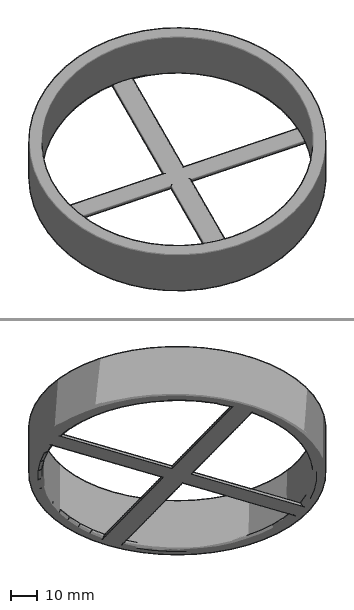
import cadquery as cq

outer_diameter = 110.5
inner_diameter = 100.5
height = 22.0
rim_fillet = 1.0
base_fillet = 1.5

x_bar_width = 8.2
y_bar_width = 7.0
bar_thickness = 1.5
bar_fillet = 0.7

outer_radius = outer_diameter / 2
inner_radius = inner_diameter / 2


def make_ring():
    """Round wall with rounded edges at the upper rim and at the base."""
    ring = cq.Workplane("XY").circle(outer_radius).circle(inner_radius).extrude(height)
    return ring.faces(">Z").edges().fillet(rim_fillet).faces("<Z").edges().fillet(base_fillet)


def make_bar(length_x, length_y, long_edges):
    """Flat bar standing on the base plane with its upper long edges rounded."""
    bar = cq.Workplane("XY").box(length_x, length_y, bar_thickness, centered=(True, True, False))
    return bar.faces(">Z").edges(long_edges).fillet(bar_fillet)


def make_cross():
    """Two crossing bars whose round ends reach the middle of the ring wall."""
    end_radius = (inner_radius + outer_radius) / 2
    bar_length = 2 * outer_radius
    x_bar = make_bar(bar_length, x_bar_width, "|X")
    y_bar = make_bar(y_bar_width, bar_length, "|Y")
    end_limit = cq.Workplane("XY").circle(end_radius).extrude(bar_thickness)
    return x_bar.union(y_bar).intersect(end_limit)


result = make_ring().union(make_cross())